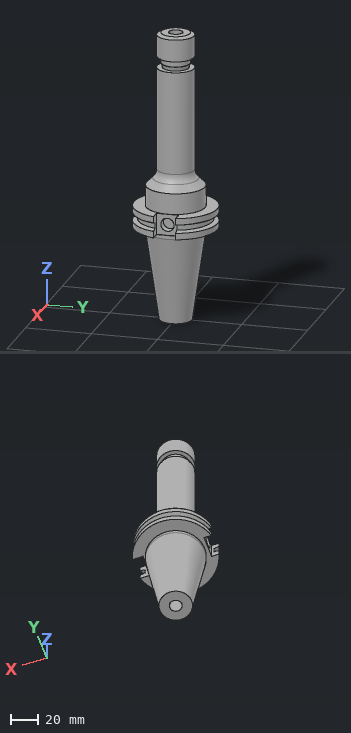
import cadquery as cq
import math

total_length = 220.6
taper_length = 68.2
flange_bottom = 71.3
flange_top = 87.5
collar_top = 103.5
shank_top = 194.0
neck_step = 197.3
nut_bottom = 202.3
nut_chamfer_height = 1.5

collar_radius = 22.3
flange_radius = 31.8
shank_radius = 14.1
neck_radius = 11.0
relief_top_radius = 10.5
relief_bottom_radius = 10.0
nut_radius = shank_radius
nut_face_radius = 10.8

taper_ratio = 7 / 24
taper_end_radius = collar_radius - taper_length * taper_ratio / 2

blend_radius = 9.7
shoulder_angle = math.radians(45)
half_angle = shoulder_angle / 2
blend_end_radius = shank_radius + blend_radius * (1 - math.cos(shoulder_angle))
blend_end_height = collar_top + (collar_radius - blend_end_radius) / math.tan(shoulder_angle)
blend_start_height = blend_end_height + blend_radius * math.sin(shoulder_angle)
blend_middle = (
    shank_radius + blend_radius * (1 - math.cos(half_angle)),
    blend_start_height - blend_radius * math.sin(half_angle),
)

flange_middle = (flange_bottom + flange_top) / 2
groove_radius = 28.0
groove_mouth_width = 6.5
groove_floor_width = 4.0

slot_width = 16.5
left_slot_floor = -25.0
right_slot_floor = 22.5
slot_hole_diameter = 10.0
slot_hole_depth = 6.6

bore_diameter = 9.3
bore_mouth_diameter = 10.4


def turned_body():
    return (
        cq.Workplane("XZ")
        .lineTo(taper_end_radius, 0)
        .lineTo(collar_radius, taper_length)
        .lineTo(collar_radius, flange_bottom)
        .lineTo(flange_radius, flange_bottom)
        .lineTo(flange_radius, flange_middle - groove_mouth_width / 2)
        .lineTo(groove_radius, flange_middle - groove_floor_width / 2)
        .lineTo(groove_radius, flange_middle + groove_floor_width / 2)
        .lineTo(flange_radius, flange_middle + groove_mouth_width / 2)
        .lineTo(flange_radius, flange_top)
        .lineTo(collar_radius, flange_top)
        .lineTo(collar_radius, collar_top)
        .lineTo(blend_end_radius, blend_end_height)
        .threePointArc(blend_middle, (shank_radius, blend_start_height))
        .lineTo(shank_radius, shank_top)
        .lineTo(relief_bottom_radius, shank_top)
        .lineTo(relief_top_radius, neck_step)
        .lineTo(neck_radius, neck_step)
        .lineTo(neck_radius, nut_bottom)
        .lineTo(nut_radius, nut_bottom)
        .lineTo(nut_radius, total_length - nut_chamfer_height)
        .lineTo(nut_face_radius, total_length)
        .lineTo(0, total_length)
        .close()
        .revolve(360, (0, 0, 0), (0, 1, 0))
    )


def drive_slot(floor_x):
    """Flange slot with its floor at floor_x, and the blind hole going inward from that floor."""
    side = math.copysign(1, floor_x)
    slot_depth = flange_radius - abs(floor_x)
    slot = cq.Workplane("XY").box(slot_depth, slot_width, flange_top - flange_bottom)
    slot = slot.translate((floor_x + side * slot_depth / 2, 0, flange_middle))
    hole = (
        cq.Workplane("YZ", origin=(floor_x, 0, flange_middle))
        .circle(slot_hole_diameter / 2)
        .extrude(-side * slot_hole_depth)
    )
    return slot.union(hole)


def axial_bore():
    """Through bore, opened out along the length of the nut."""
    bore = cq.Workplane("XY").circle(bore_diameter / 2).extrude(total_length)
    mouth = (
        cq.Workplane("XY", origin=(0, 0, nut_bottom))
        .circle(bore_mouth_diameter / 2)
        .extrude(total_length - nut_bottom)
    )
    return bore.union(mouth)


result = turned_body().cut(axial_bore())
for floor_x in (left_slot_floor, right_slot_floor):
    result = result.cut(drive_slot(floor_x))